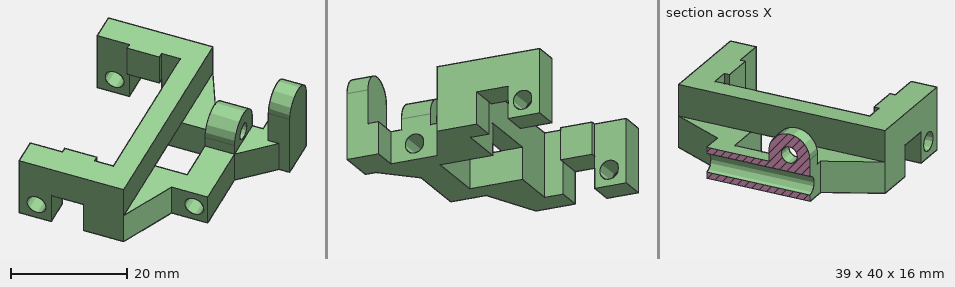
import cadquery as cq

frame_length = 19.5
frame_width = 40.0
frame_height = 12.0
arm_thickness = 5.0
wall_thickness = 4.0
wall_inner_x = frame_length - wall_thickness

slot_height = 6.0
arm_slot_start = 6.0
arm_slot_length = 6.0
pad_thickness = 1.0
window_width = 12.0
window_start_y = (frame_width - window_width) / 2

bar_outer_x = 31.0
bar_inner_x = 25.5
bar_width = bar_outer_x - bar_inner_x
taper_end_x = 24.25
bar_length = 20.0
bar_start_y = (frame_width - bar_length) / 2
bar_end_y = bar_start_y + bar_length

cross_hole_diameter = 3.5
cross_hole_z = slot_height / 2
arm_hole_x = 3.25
bar_hole_x = 28.5

lug_width = 8.0
lug_start_y = bar_end_y - lug_width
lug_hole_diameter = 3.0

tab_outer_x = 39.0
tab_thickness = 4.0
tab_inner_x = tab_outer_x - tab_thickness
tab_width = 7.5
tab_end_y = 35.0
tab_start_y = tab_end_y - tab_width
tab_height = 16.0
bracket_edge_x = 33.0
bracket_slope_end_x = 37.0


def block(x, y, z, length, width, height):
    """Box given by its lowest corner and its sizes."""
    return cq.Workplane("XY").box(length, width, height, centered=False).translate((x, y, z))


def prism(points, height):
    """Upright prism standing on the base plane."""
    return cq.Workplane("XY").polyline(points).close().extrude(height)


def round_topped_plate(x, y, thickness, width, height, base_z=0.0):
    """Plate facing X whose top is a half circle spanning its width."""
    radius = width / 2
    shoulder_z = height - radius
    return (
        cq.Workplane("YZ", origin=(x, 0, 0))
        .moveTo(y, base_z)
        .lineTo(y + width, base_z)
        .lineTo(y + width, shoulder_z)
        .threePointArc((y + radius, height), (y, shoulder_z))
        .close()
        .extrude(thickness)
    )


def cross_hole(x):
    """Cutter along Y through the whole part."""
    return (
        cq.Workplane("XZ", origin=(x, 0, cross_hole_z))
        .circle(cross_hole_diameter / 2)
        .extrude(-frame_width)
    )


def make_frame():
    inner_width = frame_width - 2 * arm_thickness
    frame = block(0, 0, 0, frame_length, frame_width, frame_height)
    frame = frame.cut(block(0, arm_thickness, 0, wall_inner_x, inner_width, frame_height))

    pad_height = frame_height - slot_height
    for pad_y in (arm_thickness, frame_width - arm_thickness - pad_thickness):
        pad = block(arm_slot_start, pad_y, slot_height, arm_slot_length, pad_thickness, pad_height)
        frame = frame.union(pad)

    arm_slots = block(arm_slot_start, 0, 0, arm_slot_length, frame_width, slot_height)
    return frame.cut(arm_slots)


def make_flange():
    outline = [
        (frame_length, 0),
        (taper_end_x, bar_start_y),
        (bar_outer_x, bar_start_y),
        (bar_outer_x, bar_end_y),
        (taper_end_x, bar_end_y),
        (frame_length, frame_width),
    ]
    return prism(outline, slot_height)


def make_bracket():
    outline = [
        (bar_outer_x, lug_start_y),
        (bracket_slope_end_x, tab_start_y),
        (bracket_slope_end_x, tab_end_y),
        (bracket_edge_x, tab_end_y),
        (bracket_edge_x, bar_end_y),
        (bar_outer_x, bar_end_y),
    ]
    return prism(outline, slot_height)


def make_lug():
    lug_radius = lug_width / 2
    lug = round_topped_plate(bar_inner_x, lug_start_y, bar_width, lug_width, frame_height, slot_height)
    hole = (
        cq.Workplane("YZ", origin=(bar_inner_x, lug_start_y + lug_radius, frame_height - lug_radius))
        .circle(lug_hole_diameter / 2)
        .extrude(bar_width)
    )
    return lug.cut(hole)


body = make_frame().union(make_flange()).union(make_bracket())

window_length = bar_inner_x - wall_inner_x
body = body.cut(block(wall_inner_x, window_start_y, 0, window_length, window_width, slot_height))

body = body.union(make_lug())
body = body.union(round_topped_plate(tab_inner_x, tab_start_y, tab_thickness, tab_width, tab_height))

for hole_x in (arm_hole_x, bar_hole_x):
    body = body.cut(cross_hole(hole_x))

result = body